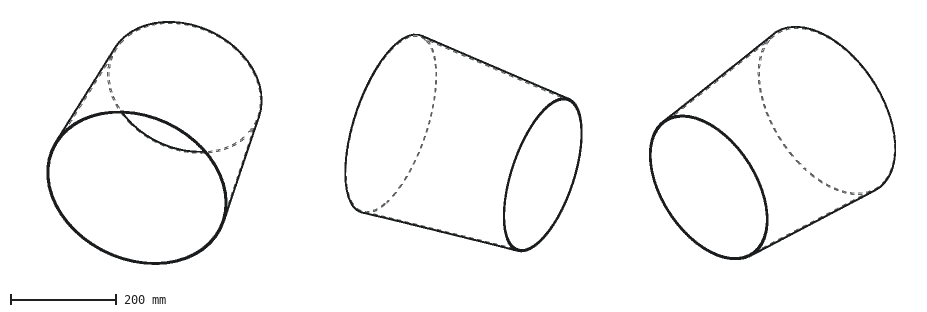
import cadquery as cq

wide_diameter = 354.0
narrow_diameter = 304.0
length = 330.0
wall = 3.0

wide_radius = wide_diameter / 2
narrow_radius = narrow_diameter / 2
wide_end = -length / 2
narrow_end = length / 2

wall_section = (
    cq.Workplane("XY")
    .moveTo(wide_radius - wall, wide_end)
    .lineTo(wide_radius, wide_end)
    .lineTo(narrow_radius, narrow_end)
    .lineTo(narrow_radius - wall, narrow_end)
    .close()
)

result = wall_section.revolve(360, (0, 0, 0), (0, 1, 0))